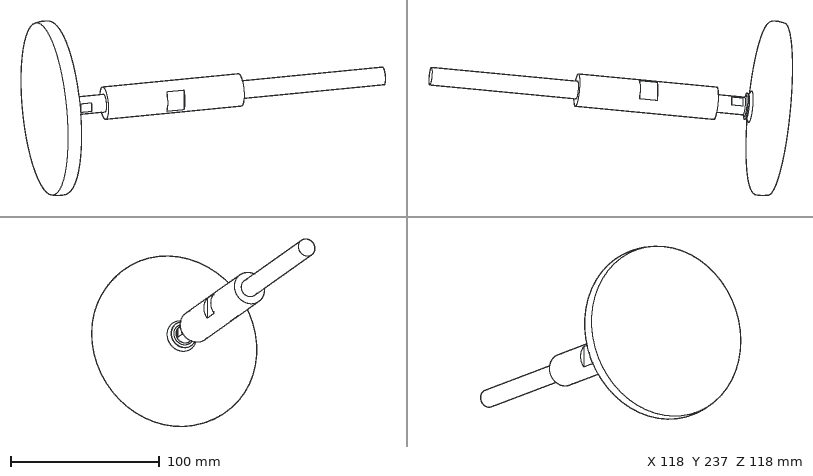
import cadquery as cq
import math

TOTAL_LENGTH = 237.0

SPINDLE_DIAMETER = 12.0
SPINDLE_START = 22.3
SPINDLE_FLAT_START = 24.0
SPINDLE_FLAT_END = 31.5
SPINDLE_ACROSS_FLATS = 10.5

SLEEVE_DIAMETER = 22.0
SLEEVE_START = 41.7
SLEEVE_END = 136.7
SLEEVE_FLAT_LENGTH = 12.0
SLEEVE_ACROSS_FLATS = 17.0

FOOT_DIAMETER = 118.0
FOOT_RADIUS = FOOT_DIAMETER / 2
GROUND_FACE_RADIUS = 58.3
RIM_START = 4.3
RIM_END = 7.3
SHOULDER_FILLET = 2.5
CONE_ANGLE = 9.8
CONE_TOP_RADIUS = 10.7
NECK_RADIUS = 8.3
NECK_HEIGHT = 20.0
COLLAR_RADIUS = 9.0
COLLAR_EDGE_HEIGHT = 20.9
COLLAR_TOP_RADIUS = 7.0
COLLAR_TOP_HEIGHT = 21.3


def rod(diameter, start, end):
    """Cylinder along Y between two heights above the ground face."""
    return cq.Workplane("XZ", origin=(0, start, 0)).circle(diameter / 2).extrude(start - end)


def cut_flats(body, diameter, across_flats, start, end):
    """Cut two opposite wrench flats, facing -X and +X."""
    depth = (diameter - across_flats) / 2
    for side in (-1, 1):
        cutter = cq.Workplane("XY").box(2 * depth, end - start, diameter)
        body = body.cut(cutter.translate((side * diameter / 2, (start + end) / 2, 0)))
    return body


def make_spindle():
    spindle = rod(SPINDLE_DIAMETER, SPINDLE_START, TOTAL_LENGTH)
    return cut_flats(
        spindle, SPINDLE_DIAMETER, SPINDLE_ACROSS_FLATS, SPINDLE_FLAT_START, SPINDLE_FLAT_END
    )


def make_sleeve():
    sleeve = rod(SLEEVE_DIAMETER, SLEEVE_START, SLEEVE_END)
    bore = rod(SPINDLE_DIAMETER, SLEEVE_START, SLEEVE_END)
    middle = (SLEEVE_START + SLEEVE_END) / 2
    sleeve = cut_flats(
        sleeve,
        SLEEVE_DIAMETER,
        SLEEVE_ACROSS_FLATS,
        middle - SLEEVE_FLAT_LENGTH / 2,
        middle + SLEEVE_FLAT_LENGTH / 2,
    )
    return sleeve.cut(bore)


def shoulder_point(angle):
    """Point on the shoulder fillet, with the angle in degrees up from the radial direction."""
    radians = math.radians(angle)
    return (
        FOOT_RADIUS - SHOULDER_FILLET + SHOULDER_FILLET * math.cos(radians),
        RIM_END + SHOULDER_FILLET * math.sin(radians),
    )


def make_foot():
    """Revolve the half section: tapered pad, rounded shoulder, cone, collared neck."""
    sweep = 90 - CONE_ANGLE
    cone_start = shoulder_point(sweep)
    cone_rise = (cone_start[0] - CONE_TOP_RADIUS) * math.tan(math.radians(CONE_ANGLE))
    section = (
        cq.Workplane("XY")
        .lineTo(GROUND_FACE_RADIUS, 0)
        .lineTo(FOOT_RADIUS, RIM_START)
        .lineTo(FOOT_RADIUS, RIM_END)
        .threePointArc(shoulder_point(sweep / 2), cone_start)
        .lineTo(CONE_TOP_RADIUS, cone_start[1] + cone_rise)
        .lineTo(NECK_RADIUS, NECK_HEIGHT)
        .lineTo(COLLAR_RADIUS, COLLAR_EDGE_HEIGHT)
        .lineTo(COLLAR_TOP_RADIUS, COLLAR_TOP_HEIGHT)
        .lineTo(SPINDLE_DIAMETER / 2, SPINDLE_START)
        .lineTo(0, SPINDLE_START)
        .close()
    )
    return section.revolve(360, (0, 0, 0), (0, 1, 0))


spindle = make_spindle()
sleeve = make_sleeve()
foot = make_foot()

result = cq.Compound.makeCompound([spindle.val(), sleeve.val(), foot.val()])